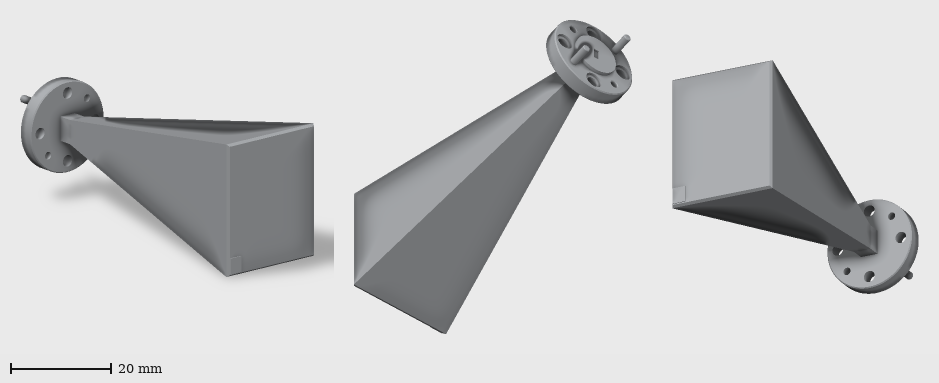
import cadquery as cq
import math

BOSS_X = 3.8
FLANGE_X = 4.65
FLANGE_BACK_X = 8.0
NECK_END_X = 11.0
HORN_END_X = 71.65
RIM_END_X = 72.2
OVERALL_LENGTH = 72.45

NECK_WIDTH = 3.7
NECK_HEIGHT = 5.1
HORN_WIDTH = 22.6
HORN_HEIGHT = 27.75
RIM_INSET = 0.4

FLANGE_DIAMETER = 19.05
FLANGE_CHAMFER = 0.2
BOSS_DIAMETER = 9.55

PORT_WIDTH = 1.2
PORT_HEIGHT = 2.5
PORT_DEPTH = 0.4

PITCH_RADIUS = 7.1
SCREW_HOLE_DIAMETER = 2.4
COUNTERBORE_DIAMETER = 3.7
COUNTERBORE_DEPTH = 0.6
DOWEL_HOLE_DIAMETER = 1.6
DOWEL_HOLE_CHAMFER = 0.15
PIN_DIAMETER = 1.6
PIN_CHAMFER = 0.15
SCREW_ANGLES = (0, 90, 180, 270)
DOWEL_HOLE_ANGLES = (45, 225)
PIN_ANGLES = (135, 315)

PAD_WIDTH = 2.75
PAD_HEIGHT = 3.3
PAD_Y = -9.4
PAD_Z = -11.6


def plane_at(x):
    """Plane facing +X, with local axes along Y and Z."""
    return cq.Workplane("YZ", origin=(x, 0, 0))


def disc(diameter, start_x, end_x):
    return plane_at(start_x).circle(diameter / 2).extrude(end_x - start_x)


def pitch_points(angles):
    """Points on the pitch circle, with angles turning from +Y toward +Z."""
    return [
        (PITCH_RADIUS * math.cos(math.radians(a)), PITCH_RADIUS * math.sin(math.radians(a)))
        for a in angles
    ]


def cylinders(angles, diameter, start_x, end_x):
    points = pitch_points(angles)
    return plane_at(start_x).pushPoints(points).circle(diameter / 2).extrude(end_x - start_x)


def tapered_block(start_x, start_size, end_x, end_size):
    length = end_x - start_x
    section = plane_at(start_x).rect(*start_size)
    return section.workplane(offset=length).rect(*end_size).loft(ruled=True)


def make_dowel_countersinks():
    """Cones that chamfer the front rims of the open dowel holes."""
    mouth_radius = DOWEL_HOLE_DIAMETER / 2 + DOWEL_HOLE_CHAMFER
    cone = cq.Solid.makeCone(
        mouth_radius, DOWEL_HOLE_DIAMETER / 2, DOWEL_HOLE_CHAMFER, dir=cq.Vector(1, 0, 0)
    )
    points = pitch_points(DOWEL_HOLE_ANGLES)
    cones = [cone.translate(cq.Vector(FLANGE_X, y, z)) for y, z in points]
    return cq.Workplane(cq.Compound.makeCompound(cones))


def make_flange():
    flange = disc(FLANGE_DIAMETER, FLANGE_X, FLANGE_BACK_X).edges().chamfer(FLANGE_CHAMFER)
    flange = flange.union(disc(BOSS_DIAMETER, BOSS_X, FLANGE_X))
    flange = flange.cut(cylinders(SCREW_ANGLES, SCREW_HOLE_DIAMETER, FLANGE_X, FLANGE_BACK_X))
    counterbore_floor = FLANGE_X + COUNTERBORE_DEPTH
    flange = flange.cut(cylinders(SCREW_ANGLES, COUNTERBORE_DIAMETER, FLANGE_X, counterbore_floor))
    flange = flange.cut(cylinders(DOWEL_HOLE_ANGLES, DOWEL_HOLE_DIAMETER, FLANGE_X, FLANGE_BACK_X))
    flange = flange.cut(make_dowel_countersinks())
    return flange.cut(cylinders(PIN_ANGLES, PIN_DIAMETER, FLANGE_X, FLANGE_BACK_X))


def make_horn():
    neck_size = (NECK_WIDTH, NECK_HEIGHT)
    mouth_size = (HORN_WIDTH, HORN_HEIGHT)
    rim_size = (HORN_WIDTH - 2 * RIM_INSET, HORN_HEIGHT - 2 * RIM_INSET)
    neck = plane_at(FLANGE_BACK_X).rect(*neck_size).extrude(NECK_END_X - FLANGE_BACK_X)
    flare = tapered_block(NECK_END_X, neck_size, HORN_END_X, mouth_size)
    rim = tapered_block(HORN_END_X, mouth_size, RIM_END_X, rim_size)
    pad = plane_at(RIM_END_X).center(PAD_Y, PAD_Z).rect(PAD_WIDTH, PAD_HEIGHT)
    pad = pad.extrude(OVERALL_LENGTH - RIM_END_X)
    return neck.union(flare).union(rim).union(pad)


def make_antenna():
    """Flange, neck and flared horn in one piece, with the waveguide port cut in."""
    port = plane_at(BOSS_X).rect(PORT_WIDTH, PORT_HEIGHT).extrude(PORT_DEPTH)
    return make_flange().union(make_horn()).cut(port)


def make_pin(angle):
    """Alignment pin with a chamfered tip, filling its hole through the flange."""
    pin = cylinders((angle,), PIN_DIAMETER, 0, FLANGE_BACK_X)
    return pin.faces("<X").chamfer(PIN_CHAMFER)


antenna = make_antenna()
pins = [make_pin(angle) for angle in PIN_ANGLES]

result = cq.Compound.makeCompound([antenna.val(), *[pin.val() for pin in pins]])